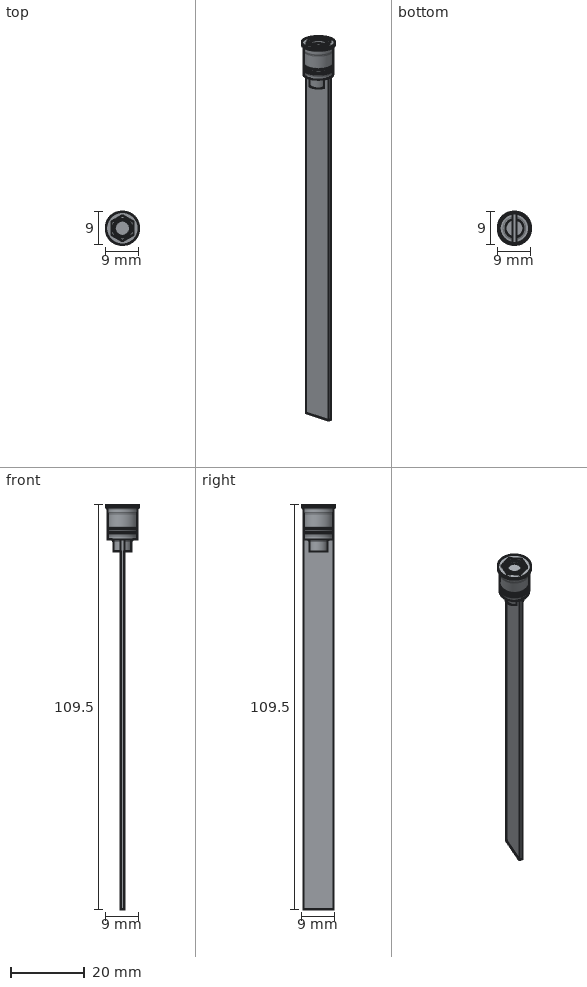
import cadquery as cq
import math

total_height = 109.5
plug_length = 9.3
nub_end_depth = 12.5

flange_diameter = 9.0
flange_thickness = 0.6
flange_fillet = 0.39
nub_diameter = 4.9
nub_fillet = 0.6

shoulder_diameter = 8.2
neck_diameter = 8.05
shoulder_end_depth = 2.0
neck_start_depth = 2.4
teeth_start_depth = 5.95
teeth = [(6.2, 6.45), (7.1, 7.4), (7.75, 8.35)]

hex_across_flats = 6.0
hex_sides = 6
hex_depth = 1.0

insert_diameter = 5.0
insert_top_depth = 0.1
insert_chamfer = 0.2
insert_end_depth = 4.0
cup_diameter = 4.2
cup_floor_depth = 1.1

strip_width = 8.2
strip_thickness = 1.0

plug_bottom_z = total_height - plug_length


def z_at(depth):
    return total_height - depth


def cylinder(diameter, top_depth, end_depth):
    base = cq.Workplane("XY", origin=(0, 0, z_at(end_depth)))
    return base.circle(diameter / 2).extrude(end_depth - top_depth)


def add_root_fillet(profile, wall_radius, face_z, fillet):
    """Continue the profile along a downward face and round it into the wall below."""
    inset = fillet * (1 - math.sqrt(0.5))
    return profile.lineTo(wall_radius + fillet, face_z).threePointArc(
        (wall_radius + inset, face_z - inset), (wall_radius, face_z - fillet)
    )


def make_plug_blank():
    flange_r = flange_diameter / 2
    shoulder_r = shoulder_diameter / 2
    neck_r = neck_diameter / 2
    nub_r = nub_diameter / 2
    flange_z = z_at(flange_thickness)

    profile = cq.Workplane("XZ").moveTo(0, total_height).lineTo(flange_r, total_height)
    profile = profile.lineTo(flange_r, flange_z)
    profile = add_root_fillet(profile, shoulder_r, flange_z, flange_fillet)
    profile = profile.lineTo(shoulder_r, z_at(shoulder_end_depth))
    profile = profile.lineTo(neck_r, z_at(neck_start_depth))
    profile = profile.lineTo(neck_r, z_at(teeth_start_depth))
    for crest_depth, root_depth in teeth:
        profile = profile.lineTo(shoulder_r, z_at(crest_depth))
        profile = profile.lineTo(neck_r, z_at(root_depth))
    profile = profile.lineTo(neck_r, plug_bottom_z)
    profile = add_root_fillet(profile, nub_r, plug_bottom_z, nub_fillet)
    profile = profile.lineTo(nub_r, z_at(nub_end_depth)).lineTo(0, z_at(nub_end_depth)).close()
    return profile.revolve(360, (0, 0, 0), (0, 1, 0))


def make_hex_socket():
    floor = cq.Workplane("XY", origin=(0, 0, z_at(hex_depth)))
    return floor.polygon(hex_sides, hex_across_flats, circumscribed=True).extrude(hex_depth)


def make_strip():
    return cq.Workplane("XY").rect(strip_thickness, strip_width).extrude(plug_bottom_z)


def make_insert():
    insert = cylinder(insert_diameter, insert_top_depth, insert_end_depth)
    insert = insert.faces(">Z").chamfer(insert_chamfer)
    return insert.cut(cylinder(cup_diameter, insert_top_depth, cup_floor_depth))


def make_plug(strip):
    insert_bore = cylinder(insert_diameter, hex_depth, insert_end_depth)
    return make_plug_blank().cut(make_hex_socket()).cut(insert_bore).cut(strip)


strip = make_strip()
insert = make_insert()
plug = make_plug(strip)
result = cq.Compound.makeCompound([plug.val(), insert.val(), strip.val()])